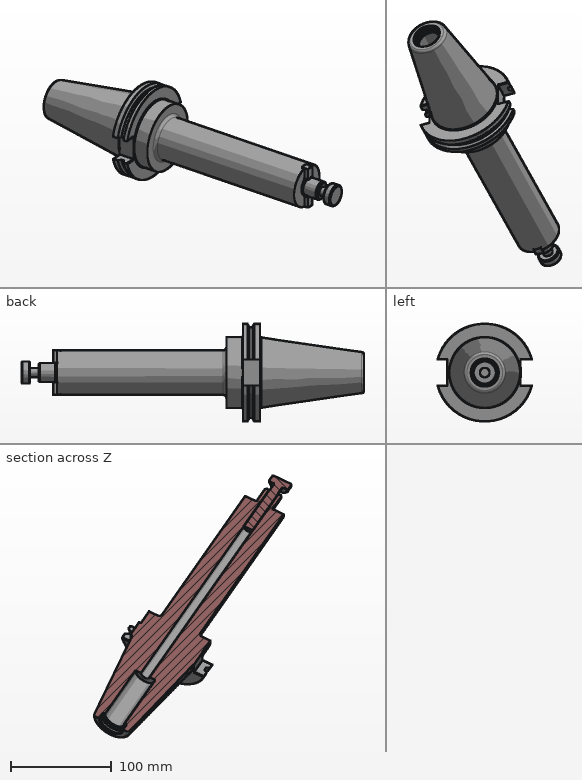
import cadquery as cq
import math

TAPER_END = 101.5
FLANGE_START = 103.0
FLANGE_END = 120.2
HUB_END = 136.5
NOSE_FACE = 304.3
PILOT_END = 322.5
HEAD_START = 331.0
TOTAL_LENGTH = 339.5

TAPER_LARGE_DIA = 70.0
TAPER_SLOPE = 7 / 24
TAPER_TIP_FILLET = 2.7

MOUTH_DIA = 28.0
COUNTERBORE_DIA = 26.0
COUNTERBORE_DEPTH = 7.5
UNDERCUT_DIA = 26.8
UNDERCUT_START = 4.5
BORE_DIA = 22.0
BORE_DEPTH = 68.0

FLANGE_DIA = 97.0
GROOVE_FLOOR_START = 110.7
GROOVE_FLOOR_END = 113.8
GROOVE_DEPTH = 3.5
GROOVE_FLANK_ANGLE = 30
SLOT_WIDTH = 25.5
SLOT_CHAMFER = 0.7
FRONT_SLOT_FLOOR = 35.5
REAR_SLOT_FLOOR = 37.5

HUB_DIA = 70.5
HUB_FILLET = 0.7
BAR_DIA = 44.5
BAR_FILLET = 3.0
PILOT_DIA = 19.0
PILOT_CHAMFER = 1.5
RELIEF_DIA = 18.5
RELIEF_WIDTH = 2.0

KEY_SIDES = (1, -1)
KEY_WIDTH = 7.8
KEY_SEAT_DEPTH = 3.5
KEY_LENGTH = 7.5
KEY_INNER = 10.0

SCREW_DIA = 9.5
SCREW_TIP = 271.7
HEAD_DIA = 22.0
HEAD_CHAMFER = 1.0


def revolve_about_x(points):
    """Turn an (x, radius) outline about the X axis."""
    return cq.Workplane("XY").polyline(points).close().revolve(360, (0, 0, 0), (1, 0, 0))


def cylinder(start, end, diameter):
    return cq.Workplane("YZ", origin=(start, 0, 0)).circle(diameter / 2).extrude(end - start)


def taper():
    large_radius = TAPER_LARGE_DIA / 2
    small_radius = large_radius - TAPER_END * TAPER_SLOPE / 2
    cone = revolve_about_x([(0, 0), (0, small_radius), (TAPER_END, large_radius), (TAPER_END, 0)])
    return cone.faces("<X").edges().fillet(TAPER_TIP_FILLET)


def drive_slot(floor, side):
    """Box that opens one side (+1 or -1 along Y) of the flange outward from the slot floor."""
    depth = FLANGE_DIA / 2 - floor
    middle = (FLANGE_START + FLANGE_END) / 2
    slot = cq.Workplane("XY").box(FLANGE_END - FLANGE_START, depth, SLOT_WIDTH)
    return slot.translate((middle, side * (floor + depth / 2), 0))


def gripper_groove():
    rim = FLANGE_DIA / 2
    floor = rim - GROOVE_DEPTH
    flank = GROOVE_DEPTH * math.tan(math.radians(GROOVE_FLANK_ANGLE))
    return revolve_about_x(
        [
            (GROOVE_FLOOR_START - flank, rim),
            (GROOVE_FLOOR_START, floor),
            (GROOVE_FLOOR_END, floor),
            (GROOVE_FLOOR_END + flank, rim),
        ]
    )


def flange():
    disc = cylinder(FLANGE_START, FLANGE_END, FLANGE_DIA)
    slotted = disc.cut(drive_slot(FRONT_SLOT_FLOOR, -1)).cut(drive_slot(REAR_SLOT_FLOOR, 1))
    chamfered = slotted.faces("|Z").edges("|Y").chamfer(SLOT_CHAMFER)
    return chamfered.cut(gripper_groove())


def root_fillet(station, diameter, radius):
    """Ring that rounds the corner where a cylinder leaves a face towards +X."""
    surface = diameter / 2
    return (
        cq.Workplane("XY")
        .moveTo(station, surface + radius)
        .radiusArc((station + radius, surface), -radius)
        .lineTo(station + radius, 0)
        .lineTo(station, 0)
        .close()
        .revolve(360, (0, 0, 0), (1, 0, 0))
    )


def pilot():
    """Chamfered spigot with a shallow V-shaped relief groove at its root."""
    spigot = cylinder(NOSE_FACE, PILOT_END, PILOT_DIA).faces(">X").chamfer(PILOT_CHAMFER)
    surface = PILOT_DIA / 2
    relief = revolve_about_x(
        [
            (NOSE_FACE, surface),
            (NOSE_FACE + RELIEF_WIDTH / 2, RELIEF_DIA / 2),
            (NOSE_FACE + RELIEF_WIDTH, surface),
        ]
    )
    return spigot.cut(relief)


def pull_stud_bore():
    """Chamfered mouth, counterbore with an undercut at its end, and the blind bore."""
    mouth_radius = MOUTH_DIA / 2
    counterbore_radius = COUNTERBORE_DIA / 2
    undercut_radius = UNDERCUT_DIA / 2
    bore_radius = BORE_DIA / 2
    return revolve_about_x(
        [
            (0, 0),
            (0, mouth_radius),
            (mouth_radius - counterbore_radius, counterbore_radius),
            (UNDERCUT_START, counterbore_radius),
            (UNDERCUT_START, undercut_radius),
            (COUNTERBORE_DEPTH, undercut_radius),
            (COUNTERBORE_DEPTH, bore_radius),
            (BORE_DEPTH, bore_radius),
            (BORE_DEPTH, 0),
        ]
    )


def key_seat(side):
    """Key recess, open through the outside of the bar."""
    height = BAR_DIA / 2 - KEY_INNER
    seat = cq.Workplane("XY").box(KEY_SEAT_DEPTH, KEY_WIDTH, height)
    return seat.translate((NOSE_FACE - KEY_SEAT_DEPTH / 2, 0, side * (KEY_INNER + height / 2)))


def make_holder():
    body = (
        taper()
        .union(cylinder(TAPER_END, FLANGE_END, HUB_DIA))
        .union(flange())
        .union(cylinder(FLANGE_END, HUB_END, HUB_DIA))
        .union(root_fillet(FLANGE_END, HUB_DIA, HUB_FILLET))
        .union(cylinder(HUB_END, NOSE_FACE, BAR_DIA))
        .union(root_fillet(HUB_END, BAR_DIA, BAR_FILLET))
        .union(pilot())
        .cut(pull_stud_bore())
        .cut(cylinder(BORE_DEPTH, PILOT_END, SCREW_DIA))
    )
    for side in KEY_SIDES:
        body = body.cut(key_seat(side))
    return body


def make_key(side):
    """Key on the +Z (side = 1) or -Z (side = -1) half of the nose face, flush with the bar."""
    start = NOSE_FACE - KEY_SEAT_DEPTH
    height = BAR_DIA / 2 - KEY_INNER
    block = cq.Workplane("XY").box(KEY_LENGTH, KEY_WIDTH, height)
    block = block.translate((start + KEY_LENGTH / 2, 0, side * (KEY_INNER + height / 2)))
    return block.intersect(cylinder(start, start + KEY_LENGTH, BAR_DIA))


def make_screw():
    shank = cylinder(SCREW_TIP, HEAD_START, SCREW_DIA)
    head = cylinder(HEAD_START, TOTAL_LENGTH, HEAD_DIA).edges().chamfer(HEAD_CHAMFER)
    return shank.union(head)


holder = make_holder()
keys = [make_key(side) for side in KEY_SIDES]
screw = make_screw()

result = cq.Compound.makeCompound([holder.val(), *[key.val() for key in keys], screw.val()])